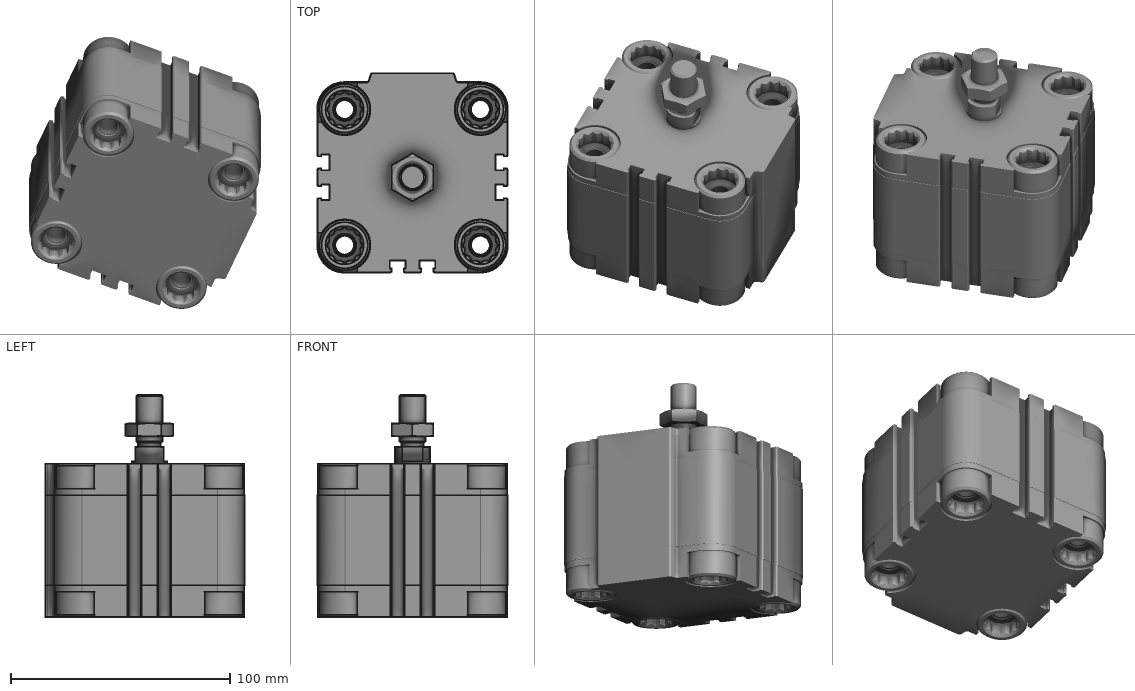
import cadquery as cq
import math

HOUSING_HEIGHT = 70.0
CAP_HEIGHT = 14.5

BARREL_WIDTH = 87.0
CAP_INSET = 0.25
CORNER_CENTRE = 31.0

RAIL_HEIGHT = 4.1
RAIL_TOP_Y = BARREL_WIDTH / 2 + RAIL_HEIGHT
RAIL_TOP_HALF_WIDTH = 18.9
RAIL_BASE_HALF_WIDTH = 20.1
RAIL_TOP_FILLET = 1.2
RAIL_BASE_FILLET = 1.2

SLOT_OFFSET = 6.8
SLOT_MOUTH_WIDTH = 5.5
SLOT_INNER_WIDTH = 7.0
SLOT_FLOOR = 38.0
SLOT_STEP = 41.5
SLOT_CHAMFER = 0.5

RECESS_DEPTH = 11.6
RECESS_DIAMETER = 23.5
RECESS_WALL = 25.2
BOSS_DIAMETER = 23.0
BOSS_CHAMFER = 1.0

SOCKET_CHAMFER_DIAMETER = 17.5
SOCKET_TIP_DIAMETER = 16.2
SOCKET_DEPTH = 6.0
COUNTERBORE_DEPTH = 7.9
HOLE_DIAMETER = 8.5
HOLE_RIM_DIAMETER = 10.7
HOLE_RIM_CHAMFER = 0.4

ROD_DIAMETER = 16.0
ROD_SHOULDER_Z = 77.6
ROD_FLATS_WIDTH = 13.1
ROD_FLATS_Z = 71.0
GROOVE_DIAMETER = 10.5
GROOVE_TOP_Z = 79.6
THREAD_DIAMETER = 12.0
ROD_TOP_Z = 101.5
THREAD_CHAMFER = (THREAD_DIAMETER - GROOVE_DIAMETER) / 2

NUT_BOTTOM_Z = 82.4
NUT_HEIGHT = 6.0
NUT_ACROSS_FLATS = 19.0
NUT_CHAMFER_ANGLE = 15.0

HEXAGON_HALF_ANGLE = 30.0


def cylinder(diameter, bottom, top):
    return cq.Workplane("XY").workplane(offset=bottom).circle(diameter / 2).extrude(top - bottom)


def rail(side, height):
    """Tapered rail that stands on the +Y side of a section whose flat side is at Y = side."""
    block = (
        cq.Workplane("XY")
        .polyline([
            (-RAIL_BASE_HALF_WIDTH, side),
            (-RAIL_TOP_HALF_WIDTH, RAIL_TOP_Y),
            (RAIL_TOP_HALF_WIDTH, RAIL_TOP_Y),
            (RAIL_BASE_HALF_WIDTH, side),
            (RAIL_BASE_HALF_WIDTH, 0),
            (-RAIL_BASE_HALF_WIDTH, 0),
        ])
        .close()
        .extrude(height)
    )
    return block.edges("|Z").edges(">Y").fillet(RAIL_TOP_FILLET)


def slot(side, height):
    """One undercut slot in the -Y side, centred on X = 0, with chamfered mouth edges."""
    mouth = SLOT_MOUTH_WIDTH / 2
    inner = SLOT_INNER_WIDTH / 2
    return (
        cq.Workplane("XY")
        .polyline([
            (inner, -SLOT_FLOOR),
            (inner, -SLOT_STEP),
            (mouth, -SLOT_STEP),
            (mouth, -side + SLOT_CHAMFER),
            (mouth + SLOT_CHAMFER, -side),
            (-mouth - SLOT_CHAMFER, -side),
            (-mouth, -side + SLOT_CHAMFER),
            (-mouth, -SLOT_STEP),
            (-inner, -SLOT_STEP),
            (-inner, -SLOT_FLOOR),
        ])
        .close()
        .extrude(height)
    )


def housing_section(side, bottom, height):
    """Length of the extruded housing profile; side is the distance of its sides from the axis."""
    body = cq.Workplane("XY").rect(2 * side, 2 * side).extrude(height)
    body = body.edges("|Z").fillet(side - CORNER_CENTRE)
    body = body.union(rail(side, height))
    for x in (-RAIL_BASE_HALF_WIDTH, RAIL_BASE_HALF_WIDTH):
        base_edge = cq.selectors.NearestToPointSelector((x, side, height / 2))
        body = body.edges(base_edge).fillet(RAIL_BASE_FILLET)
    for side_angle in (-90, 0, 90):
        for x in (-SLOT_OFFSET, SLOT_OFFSET):
            cutter = slot(side, height).translate((x, 0, 0))
            body = body.cut(cutter.rotate((0, 0, 0), (0, 0, 1), side_angle))
    return body.translate((0, 0, bottom))


def corner_recess():
    """Recess at the top of the +X +Y corner, round towards the middle and open to both sides."""
    bottom = HOUSING_HEIGHT - RECESS_DEPTH
    round_part = cylinder(RECESS_DIAMETER, bottom, HOUSING_HEIGHT)
    round_part = round_part.translate((CORNER_CENTRE, CORNER_CENTRE, 0))
    open_part = (
        cq.Workplane("XY")
        .workplane(offset=bottom)
        .moveTo(RECESS_WALL, RECESS_WALL)
        .rect(BARREL_WIDTH, BARREL_WIDTH, centered=False)
        .extrude(RECESS_DEPTH)
    )
    return round_part.union(open_part)


def corner_boss():
    boss = cylinder(BOSS_DIAMETER, HOUSING_HEIGHT - RECESS_DEPTH, HOUSING_HEIGHT)
    boss = boss.faces(">Z").edges().chamfer(BOSS_CHAMFER)
    return boss.translate((CORNER_CENTRE, CORNER_CENTRE, 0))


def corner_socket():
    """Chamfered twelve-point socket, the counterbore below it and the hole down to mid-height."""
    socket_bottom = HOUSING_HEIGHT - SOCKET_DEPTH
    floor = HOUSING_HEIGHT - COUNTERBORE_DEPTH
    hexagon = cq.Workplane("XY").workplane(offset=socket_bottom)
    hexagon = hexagon.polygon(6, SOCKET_TIP_DIAMETER).extrude(SOCKET_DEPTH)
    socket = hexagon.union(hexagon.rotate((0, 0, 0), (0, 0, 1), HEXAGON_HALF_ANGLE))

    mouth = SOCKET_CHAMFER_DIAMETER / 2
    hole = HOLE_DIAMETER / 2
    rim = HOLE_RIM_DIAMETER / 2
    socket = socket.union(cylinder(SOCKET_TIP_DIAMETER, floor, socket_bottom))
    socket = socket.union(
        cq.Workplane("XZ")
        .polyline([
            (0, HOUSING_HEIGHT),
            (mouth, HOUSING_HEIGHT),
            (rim, HOUSING_HEIGHT - mouth + rim),
            (rim, floor),
            (rim - HOLE_RIM_CHAMFER, floor - HOLE_RIM_CHAMFER),
            (hole, floor - HOLE_RIM_CHAMFER),
            (hole, HOUSING_HEIGHT / 2),
            (0, HOUSING_HEIGHT / 2),
        ])
        .close()
        .revolve(360, (0, 0, 0), (0, 1, 0))
    )
    return socket.translate((CORNER_CENTRE, CORNER_CENTRE, 0))


def at_all_corners(feature):
    """Copies of a +X +Y top-corner feature at all four corners, at both ends of the housing."""
    mirrored = feature.mirror("XY", (0, 0, HOUSING_HEIGHT / 2))
    copies = []
    for angle in (0, 90, 180, 270):
        for end in (feature, mirrored):
            copies.append(end.rotate((0, 0, 0), (0, 0, 1), angle))
    return copies


def make_housing():
    barrel_side = BARREL_WIDTH / 2
    cap_side = barrel_side - CAP_INSET
    body = housing_section(barrel_side, CAP_HEIGHT, HOUSING_HEIGHT - 2 * CAP_HEIGHT)
    for cap_bottom in (0, HOUSING_HEIGHT - CAP_HEIGHT):
        body = body.union(housing_section(cap_side, cap_bottom, CAP_HEIGHT))
    for recess in at_all_corners(corner_recess()):
        body = body.cut(recess)
    for boss in at_all_corners(corner_boss()):
        body = body.union(boss)
    for socket in at_all_corners(corner_socket()):
        body = body.cut(socket)
    return body.solids()


def make_piston_rod():
    """Rod end standing on the housing, with two wrench flats, a groove and a plain thread."""
    shank = cylinder(ROD_DIAMETER, HOUSING_HEIGHT, ROD_SHOULDER_Z)
    flats_height = ROD_SHOULDER_Z - ROD_FLATS_Z
    flats_middle = (ROD_SHOULDER_Z + ROD_FLATS_Z) / 2
    outside = cq.Workplane("XY").box(2 * ROD_DIAMETER, 2 * ROD_DIAMETER, flats_height)
    between = cq.Workplane("XY").box(2 * ROD_DIAMETER, ROD_FLATS_WIDTH, flats_height)
    shank = shank.cut(outside.cut(between).translate((0, 0, flats_middle)))

    groove = cylinder(GROOVE_DIAMETER, ROD_SHOULDER_Z, GROOVE_TOP_Z)
    thread = cylinder(THREAD_DIAMETER, GROOVE_TOP_Z, ROD_TOP_Z)
    thread = thread.faces("<Z or >Z").edges().chamfer(THREAD_CHAMFER)
    return shank.union(groove).union(thread).solids()


def make_lock_nut():
    """Hexagon nut on the thread, two flats facing -X and +X, corners bevelled at both ends."""
    corner = NUT_ACROSS_FLATS / 2 / math.cos(math.radians(HEXAGON_HALF_ANGLE))
    bevel_start = NUT_ACROSS_FLATS / 2
    bevel_drop = (corner - bevel_start) * math.tan(math.radians(NUT_CHAMFER_ANGLE))
    nut = cq.Workplane("XY").polygon(6, 2 * corner).extrude(NUT_HEIGHT)
    nut = nut.rotate((0, 0, 0), (0, 0, 1), HEXAGON_HALF_ANGLE)
    bevelled_blank = (
        cq.Workplane("XZ")
        .polyline([
            (0, 0),
            (bevel_start, 0),
            (corner, bevel_drop),
            (corner, NUT_HEIGHT - bevel_drop),
            (bevel_start, NUT_HEIGHT),
            (0, NUT_HEIGHT),
        ])
        .close()
        .revolve(360, (0, 0, 0), (0, 1, 0))
    )
    nut = nut.intersect(bevelled_blank).cut(cylinder(THREAD_DIAMETER, 0, NUT_HEIGHT))
    return nut.translate((0, 0, NUT_BOTTOM_Z)).solids()


housing = make_housing()
piston_rod = make_piston_rod()
lock_nut = make_lock_nut()

result = cq.Compound.makeCompound([housing.val(), piston_rod.val(), lock_nut.val()])